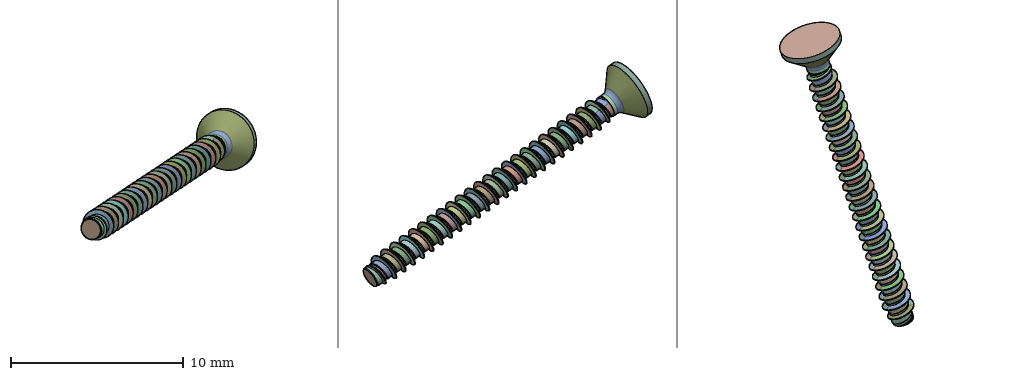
import cadquery as cq
import math


overall_length = 20.0
head_radius = 3.65 / 2
rim_height = 0.354
cone_half_angle = 45.0
neck_radius = 0.70
neck_fillet_radius = 0.5
neck_end = 1.92

core_radius = 0.65
tip_chamfer = 0.05

pitch = 0.71
thread_radius = 0.90
crest_width = 0.06
root_width = 0.20
reference_crest = 1.71
thread_start = 1.85
thread_end = 19.83

groove_depth = 0.04
groove_width = 0.27

band_start = 1.2
band_end = overall_length + pitch
foot_depth = 0.10
turn_gap = 0.01
points_per_turn = 12
seam_angle = 315

root_radius = core_radius - groove_depth

cone_end = rim_height + (head_radius - neck_radius) / math.tan(math.radians(cone_half_angle))


def make_blank():
    """Head, filleted neck and the root cylinder, left too long at the tip."""
    turn_angle = math.radians(cone_half_angle)
    fillet_setback = neck_fillet_radius * math.tan(turn_angle / 2)
    fillet_start = (
        neck_radius + fillet_setback * math.sin(turn_angle),
        cone_end - fillet_setback * math.cos(turn_angle),
    )
    fillet_end_height = cone_end + fillet_setback
    fillet_middle = (
        neck_radius + neck_fillet_radius * (1 - math.cos(turn_angle / 2)),
        fillet_end_height - neck_fillet_radius * math.sin(turn_angle / 2),
    )
    return (
        cq.Workplane("YZ")
        .moveTo(0, 0)
        .lineTo(head_radius, 0)
        .lineTo(head_radius, rim_height)
        .lineTo(*fillet_start)
        .threePointArc(fillet_middle, (neck_radius, fillet_end_height))
        .lineTo(neck_radius, neck_end)
        .lineTo(root_radius, neck_end)
        .lineTo(root_radius, band_end)
        .lineTo(0, band_end)
        .close()
        .revolve(360, (0, 0, 0), (0, 1, 0))
    )


def crest_radius_at(height):
    """Radius of the ridge crest, which rises from and falls back to the core surface."""
    fade = min(1.0, (height - thread_start) / pitch, (thread_end - height) / pitch)
    return core_radius + (thread_radius - core_radius) * max(0.0, fade)


def band_profile_at(height):
    """Corners (radius, axial offset) of one turn: the ridge, the core surface and the groove side."""
    foot_radius = core_radius - foot_depth
    flank_slope = (root_width - crest_width) / 2 / (thread_radius - core_radius)
    foot_half_width = root_width / 2 + foot_depth * flank_slope
    crest_radius = crest_radius_at(height)
    return [
        (foot_radius, -foot_half_width),
        (crest_radius, -crest_width / 2),
        (crest_radius, crest_width / 2),
        (core_radius, root_width / 2),
        (core_radius, pitch - groove_width),
        (foot_radius, pitch - foot_half_width - turn_gap),
    ]


def helix_point(height, radius, offset):
    """Point at a radius and axial offset from the thread helix, which turns with height."""
    angle = 2 * math.pi * (height - reference_crest) / pitch
    return cq.Vector(radius * math.cos(angle), radius * math.sin(angle), height + offset)


def band_breaks():
    """Heights that split the band where its crest changes slope and once in every full turn."""
    full_start = thread_start + pitch
    full_end = thread_end - pitch
    breaks = [band_start, thread_start, full_start]
    seam = reference_crest + pitch * seam_angle / 360
    while seam < full_end:
        if seam > full_start:
            breaks.append(seam)
        seam += pitch
    return breaks + [full_end, thread_end, band_end]


def make_helical_band():
    """Solid that winds the band profile around the axis, one set of ruled faces per stretch."""
    breaks = band_breaks()
    corner_count = len(band_profile_at(band_start))
    faces = []
    for bottom, top in zip(breaks, breaks[1:]):
        steps = math.ceil(points_per_turn * (top - bottom) / pitch)
        heights = [bottom + (top - bottom) * step / steps for step in range(steps + 1)]
        edges = []
        for corner in range(corner_count):
            points = [helix_point(height, *band_profile_at(height)[corner]) for height in heights]
            edges.append(cq.Edge.makeSpline(points))
        for corner in range(corner_count):
            next_edge = edges[(corner + 1) % corner_count]
            faces.append(cq.Face.makeRuledSurface(edges[corner], next_edge))
    for height in (breaks[0], breaks[-1]):
        outline = [helix_point(height, *corner) for corner in band_profile_at(height)]
        faces.append(cq.Face.makeFromWires(cq.Wire.makePolygon(outline, close=True)))
    return cq.Workplane(obj=cq.Solid.makeSolid(cq.Shell.makeShell(faces)))


def make_tip_trimmer():
    """Cutter that squares off the tip and leaves its 45 degree chamfer."""
    tip_radius = core_radius - tip_chamfer
    trim_top = band_end + pitch
    return (
        cq.Workplane("YZ")
        .moveTo(0, overall_length)
        .lineTo(tip_radius, overall_length)
        .lineTo(thread_radius, overall_length - (thread_radius - tip_radius))
        .lineTo(thread_radius, trim_top)
        .lineTo(0, trim_top)
        .close()
        .revolve(360, (0, 0, 0), (0, 1, 0))
    )


screw = make_blank().union(make_helical_band()).cut(make_tip_trimmer())

result = screw.rotate((0, 0, 0), (1, 0, 0), 90)